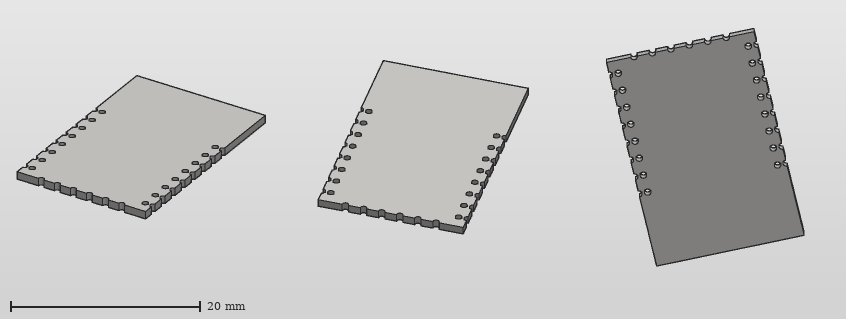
import cadquery as cq

length = 24.0
width = length * 2 / 3
thickness = 0.9

pitch = length / 12
hole_diameter = 0.7
side_count = 8
end_count = 6
first_row_offset = 0.75 * pitch
hole_inset = 0.95

side_rows = [-length / 2 + first_row_offset + i * pitch for i in range(side_count)]
end_columns = [(i - (end_count - 1) / 2) * pitch for i in range(end_count)]


def side_points(inset):
    """Points along both long edges, moved inward by the inset."""
    x = width / 2 - inset
    return [(side * x, y) for side in (-1, 1) for y in side_rows]


notch_points = side_points(0) + [(x, -length / 2) for x in end_columns]
hole_points = side_points(hole_inset)

board = cq.Workplane("XY").rect(width, length).extrude(thickness)

cutters = (
    cq.Workplane("XY")
    .pushPoints(notch_points + hole_points)
    .circle(hole_diameter / 2)
    .extrude(thickness)
)

result = board.cut(cutters)